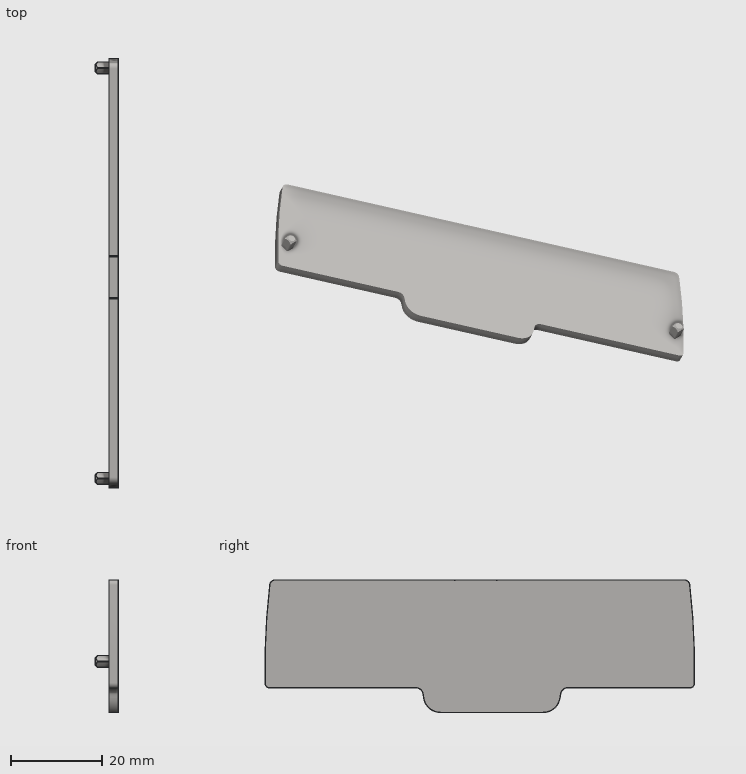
import cadquery as cq
import math

plate_thickness = 2.1
plate_width = 94.24
plate_height = 23.7
side_radius = 155.0
widest_height = 4.6
top_corner_radius = 1.25
bottom_corner_radius = 1.0

tab_depth = 5.4
tab_width = 30.7
tab_draft = 10.0
root_overlap = 1.0
tab_corner_radius = 3.75
tab_offset = 2.65
tab_root_radius = 1.5

notch_centre = -0.87
notch_spacing = 9.2
notch_width = 0.3
notch_depth = 0.08

pin_length = 3.0
pin_side = 2.0
pin_corner_radius = 1.32
pin_spacing = 90.0
pin_height = 5.8
pin_tip_bevel = 0.55


def bow_y(height):
    """Half-width of the bowed plate at a height above its lower edge."""
    drop = height - widest_height
    return plate_width / 2 - side_radius + math.sqrt(side_radius**2 - drop**2)


def make_plate():
    bottom_y = bow_y(0)
    top_y = bow_y(plate_height)
    plate = (
        cq.Workplane("YZ")
        .moveTo(-bottom_y, 0)
        .lineTo(bottom_y, 0)
        .threePointArc((plate_width / 2, widest_height), (top_y, plate_height))
        .lineTo(-top_y, plate_height)
        .threePointArc((-plate_width / 2, widest_height), (-bottom_y, 0))
        .close()
        .extrude(plate_thickness)
    )
    plate = plate.edges("|X and >Z").fillet(top_corner_radius)
    return plate.edges("|X and <Z").fillet(bottom_corner_radius)


def add_tab(plate):
    half_top = tab_width / 2
    half_bottom = half_top - tab_depth * math.tan(math.radians(tab_draft))
    tab = (
        cq.Workplane("YZ", origin=(0, tab_offset, 0))
        .polyline([
            (-half_top, 0),
            (-half_top, root_overlap),
            (half_top, root_overlap),
            (half_top, 0),
            (half_bottom, -tab_depth),
            (-half_bottom, -tab_depth),
        ])
        .close()
        .extrude(plate_thickness)
        .edges("|X and <Z")
        .fillet(tab_corner_radius)
    )
    body = plate.union(tab)
    root_size = tab_root_radius / 2
    root_box = cq.selectors.BoxSelector(
        (-plate_thickness, tab_offset - half_top - root_size, -root_size),
        (2 * plate_thickness, tab_offset + half_top + root_size, root_size),
    )
    return body.edges("|X").edges(root_box).fillet(tab_root_radius)


def cut_notches(body):
    for side in (-1, 1):
        notch = (
            cq.Workplane("YZ", origin=(0, notch_centre + side * notch_spacing / 2, plate_height))
            .polyline([(-notch_width / 2, 0), (0, -notch_depth), (notch_width / 2, 0)])
            .close()
            .extrude(plate_thickness)
        )
        body = body.cut(notch)
    return body


def make_pin(y):
    base = cq.Workplane("YZ", origin=(-pin_length, y, pin_height))
    half_diagonal = pin_side / math.sqrt(2)
    bar = (
        base.polyline([(half_diagonal, 0), (0, half_diagonal), (-half_diagonal, 0), (0, -half_diagonal)])
        .close()
        .extrude(pin_length)
    )
    envelope = (
        base.circle(pin_corner_radius)
        .extrude(pin_length)
        .faces("<X")
        .chamfer(pin_tip_bevel)
    )
    return bar.intersect(envelope)


result = cut_notches(add_tab(make_plate()))
for side in (-1, 1):
    result = result.union(make_pin(side * pin_spacing / 2))